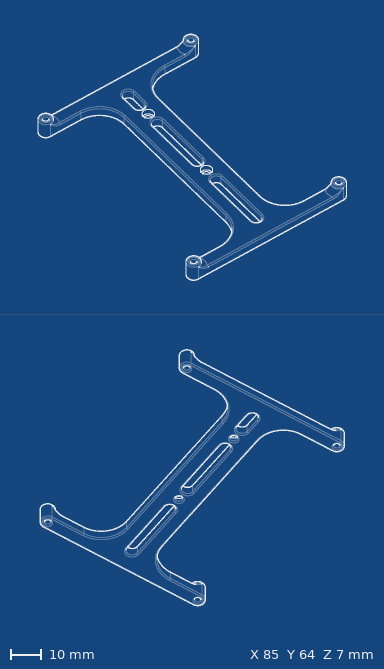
import cadquery as cq

length = 85.0
width = 64.0
boss_height = 7.0
plate_height = 4.0
edge_radius = 0.5

arm_width = 5.0
boss_hole_diameter = 2.0
boss_root_radius = 2.0
crossbar_width = 14.0
corner_radius = 10.0

slot_width = 4.0
slot_ends = ((-34.5, -28.65), (-18.8, 2.7), (13.0, 34.5))

mount_hole_diameter = 2.5
counterbore_diameter = 4.0
counterbore_depth = 2.1
mount_hole_x = (-23.8, 7.65)

margin = 0.1

boss_radius = arm_width / 2
flare_radius = boss_radius + boss_root_radius
arm_x = length / 2 - boss_radius
arm_inner_x = arm_x - boss_radius
boss_y = width / 2 - boss_radius
boss_points = [(side * arm_x, end * boss_y) for side in (-1, 1) for end in (-1, 1)]


def frame_blank():
    """H-shaped blank at boss height, with round arm ends and large inside corners."""
    crossbar = cq.Workplane("XY").box(2 * arm_x, crossbar_width, boss_height, (True, True, False))
    arms = (
        cq.Workplane("XY")
        .pushPoints([(-arm_x, 0), (arm_x, 0)])
        .slot2D(width, arm_width, 90)
        .extrude(boss_height)
    )
    reach_x = arm_inner_x + margin
    reach_y = crossbar_width / 2 + margin
    inside_corners = cq.selectors.BoxSelector((-reach_x, -reach_y, 0), (reach_x, reach_y, boss_height))
    return arms.union(crossbar).edges("|Z").edges(inside_corners).fillet(corner_radius)


def flared_boss(x, y):
    """Boss standing on the plate top, with a concave flare around its root."""
    profile = (
        cq.Workplane("XZ")
        .moveTo(0, plate_height)
        .lineTo(flare_radius, plate_height)
        .radiusArc((boss_radius, plate_height + boss_root_radius), boss_root_radius)
        .lineTo(boss_radius, boss_height)
        .lineTo(0, boss_height)
        .close()
    )
    return profile.revolve(360, (0, 0), (0, 1)).translate((x, y, 0))


def headroom():
    """Space above the plate, leaving only the flared bosses standing."""
    space = (
        cq.Workplane("XY")
        .workplane(offset=plate_height)
        .rect(length, 2 * boss_y)
        .extrude(boss_height - plate_height)
    )
    for x, y in boss_points:
        space = space.cut(flared_boss(x, y))
    return space


def slot_cutter(start, end):
    """Through slot with its round ends centered at X = start and X = end."""
    return (
        cq.Workplane("XY")
        .center((start + end) / 2, 0)
        .slot2D(end - start + slot_width, slot_width)
        .extrude(plate_height)
    )


def round_pins(points, diameter, height):
    """Upright cylinders standing on the base plane at the given points."""
    return cq.Workplane("XY").pushPoints(points).circle(diameter / 2).extrude(height)


body = frame_blank().cut(headroom())

for slot_start, slot_end in slot_ends:
    body = body.cut(slot_cutter(slot_start, slot_end))
mount_points = [(x, 0) for x in mount_hole_x]
body = body.cut(round_pins(mount_points, mount_hole_diameter, plate_height - counterbore_depth))
body = body.cut(round_pins(boss_points, boss_hole_diameter, boss_height))

body = body.faces("<Z").edges().fillet(edge_radius)
body = body.faces(">Z").edges().fillet(edge_radius)
plate_top_y = boss_y - flare_radius
plate_rims = cq.selectors.BoxSelector(
    (-length, -plate_top_y, plate_height - margin),
    (length, plate_top_y, plate_height + margin),
)
body = body.edges(plate_rims).fillet(edge_radius)
counterbores = round_pins(mount_points, counterbore_diameter, counterbore_depth)
result = body.cut(counterbores.translate((0, 0, plate_height - counterbore_depth)))